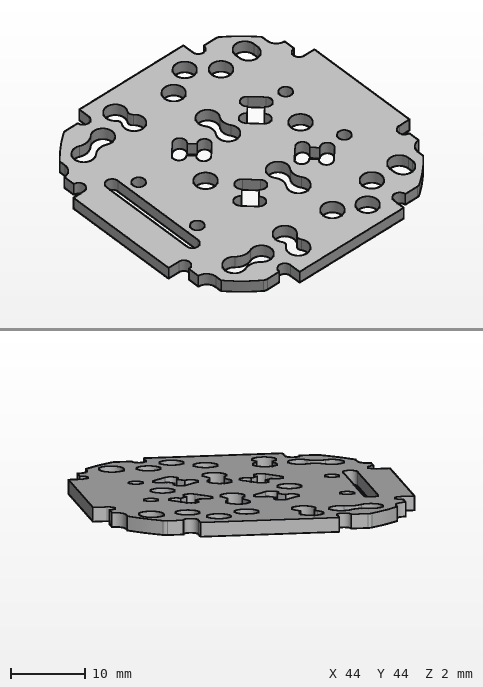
import cadquery as cq
import math

SIZE = 44.0
THICKNESS = 2.0
TAB_WIDTH = 19.0
SHOULDER = 20.1
CORNER_RADIUS = 24.5

SMALL_DIAMETER = 2.0
LARGE_DIAMETER = 3.3

CORNER_FILLET = SMALL_DIAMETER / 2

COLUMN = 15.05
OUTER_COLUMN = 18.25
MIDDLE_COLUMN = 15.85
ROW_PITCH = 5.0
OUTER_HOLE_Y = 6.35
SHORT_DOUBLE_INNER_Y = -5.85
SHORT_DOUBLE_OUTER_Y = -6.35
LONG_DOUBLE_FRONT_Y = -15.05
LONG_DOUBLE_BACK_Y = -10.82
SIDE_SLOT_SHIFT = 0.75

PATTERN_Y = 2.1
PATTERN_HOLE_OFFSET = 8.65
CENTRAL_DOUBLE_INNER = 4.95
CENTRAL_DOUBLE_OUTER = 9.05
MOUNT_X = 5.85
MOUNT_Y = 13.4
NECK_WIDTH = 2.02

H_ANGLE = 45.0
H_BAR_SPACING = 3.35
H_LOBE_SPACING = 2.45
H_CHANNEL_WIDTH = 2.35

LONG_SLOT_Y = -16.3
LONG_SLOT_LENGTH = 18.05


def both_sides(points):
    """Add the mirror image of each point about X = 0."""
    return points + [(-x, y) for x, y in points]


def make_plate():
    """Cross-shaped tabs joined to a square with rounded corners."""
    corner_disc = cq.Workplane("XY").circle(CORNER_RADIUS).extrude(THICKNESS)
    body = cq.Workplane("XY").rect(2 * SHOULDER, 2 * SHOULDER).extrude(THICKNESS)
    body = body.intersect(corner_disc).edges("|Z").fillet(CORNER_FILLET)
    for width, depth in ((SIZE, TAB_WIDTH), (TAB_WIDTH, SIZE)):
        body = body.union(cq.Workplane("XY").rect(width, depth).extrude(THICKNESS))
    return body


def round_cut(points, diameter):
    return cq.Workplane("XY").pushPoints(points).circle(diameter / 2).extrude(THICKNESS)


def slot_cut(center, length, diameter):
    return cq.Workplane("XY").center(*center).slot2D(length, diameter).extrude(THICKNESS)


def tab_notches():
    """Round reliefs in the inner corners beside the tabs."""
    along = (TAB_WIDTH + SMALL_DIAMETER) / 2
    points = [(sx * x, sy * y) for x, y in ((along, SHOULDER), (SHOULDER, along))
              for sx in (-1, 1) for sy in (-1, 1)]
    return round_cut(points, SMALL_DIAMETER)


def corner_step(side_x, side_y):
    """Step beside a rounded corner: a slot on the edge, open to the outside."""
    run = SIZE / 2 - COLUMN
    center = (side_x * (COLUMN + run / 2), side_y * SHOULDER)
    return slot_cut(center, run + LARGE_DIAMETER, LARGE_DIAMETER)


def double_hole(start, end):
    """Two large holes joined by a waist with concave sides tangent to both."""
    radius = LARGE_DIAMETER / 2
    half_neck = NECK_WIDTH / 2
    dx = end[0] - start[0]
    dy = end[1] - start[1]
    half_length = math.hypot(dx, dy) / 2
    waist_radius = (half_length ** 2 + half_neck ** 2 - radius ** 2) / (2 * (radius - half_neck))
    waist_offset = half_neck + waist_radius
    share = radius / (radius + waist_radius)
    touch_x = half_length * (1 - share)
    touch_y = waist_offset * share
    profile = (
        cq.Workplane("XY")
        .moveTo(-touch_x, touch_y)
        .threePointArc((0, half_neck), (touch_x, touch_y))
        .threePointArc((half_length + radius, 0), (touch_x, -touch_y))
        .threePointArc((0, -half_neck), (-touch_x, -touch_y))
        .threePointArc((-half_length - radius, 0), (-touch_x, touch_y))
        .close()
        .extrude(THICKNESS)
    )
    middle = ((start[0] + end[0]) / 2, (start[1] + end[1]) / 2, 0)
    return profile.rotate((0, 0, 0), (0, 0, 1), math.degrees(math.atan2(dy, dx))).translate(middle)


def h_cutout(center, angle):
    """Two parallel slots joined by a wide channel."""
    cutout = cq.Workplane("XY").rect(H_CHANNEL_WIDTH, H_BAR_SPACING).extrude(THICKNESS)
    for side in (-1, 1):
        bar_center = (0, side * H_BAR_SPACING / 2)
        cutout = cutout.union(slot_cut(bar_center, H_LOBE_SPACING + SMALL_DIAMETER, SMALL_DIAMETER))
    return cutout.rotate((0, 0, 0), (0, 0, 1), angle).translate((*center, 0))


plate = make_plate().cut(tab_notches())

plate = plate.cut(round_cut(both_sides([(MOUNT_X, MOUNT_Y), (MOUNT_X, -MOUNT_Y)]), SMALL_DIAMETER))
side_holes = both_sides([(COLUMN, 2 * ROW_PITCH), (OUTER_COLUMN, OUTER_HOLE_Y), (MIDDLE_COLUMN, PATTERN_Y)])
center_holes = [(0, PATTERN_Y + side * PATTERN_HOLE_OFFSET) for side in (-1, 1)]
plate = plate.cut(round_cut(side_holes + center_holes, LARGE_DIAMETER))

DOUBLE_HOLES = [
    (CENTRAL_DOUBLE_INNER, PATTERN_Y, CENTRAL_DOUBLE_OUTER, PATTERN_Y),
    (COLUMN, SHORT_DOUBLE_INNER_Y, OUTER_COLUMN, SHORT_DOUBLE_OUTER_Y),
    (COLUMN, LONG_DOUBLE_FRONT_Y, MIDDLE_COLUMN, LONG_DOUBLE_BACK_Y),
]

for side_x in (-1, 1):
    slot_center = (side_x * (COLUMN + SIDE_SLOT_SHIFT / 2), 3 * ROW_PITCH)
    plate = plate.cut(slot_cut(slot_center, SIDE_SLOT_SHIFT + LARGE_DIAMETER, LARGE_DIAMETER))

    for start_x, start_y, end_x, end_y in DOUBLE_HOLES:
        plate = plate.cut(double_hole((side_x * start_x, start_y), (side_x * end_x, end_y)))

    for side_y in (-1, 1):
        plate = plate.cut(corner_step(side_x, side_y))
        h_center = (side_x * MOUNT_X, PATTERN_Y + side_y * MOUNT_X)
        plate = plate.cut(h_cutout(h_center, -H_ANGLE * side_x * side_y))

plate = plate.cut(slot_cut((0, LONG_SLOT_Y), LONG_SLOT_LENGTH, SMALL_DIAMETER))

result = plate